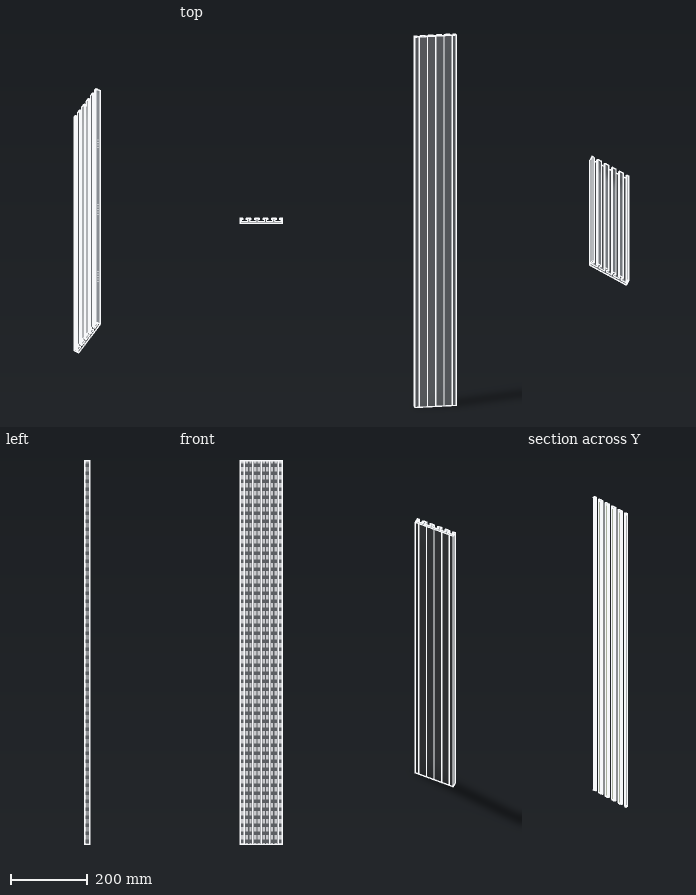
import cadquery as cq

length = 1000.0
width = 110.0
depth = 14.0

slot_count = 5
mouth_width = 8.6
mouth_chamfer = 1.3
chamber_width = 16.0
chamber_chamfer = 0.5
lip_thickness = 3.7
floor_thickness = 5.5
end_wall = 3.4

groove_width = 1.0
groove_depth = 0.2

front_y = -depth / 2
back_y = depth / 2
slot_pitch = (width - 2 * end_wall - chamber_width) / (slot_count - 1)
groove_pitch = width / slot_count


def centered_positions(count, pitch):
    """X places of evenly spaced features, symmetric about the YZ plane."""
    return [(i - (count - 1) / 2) * pitch for i in range(count)]


def prism(outline):
    """Closed XY outline extruded over the full length of the plate."""
    return cq.Workplane("XY").polyline(outline).close().extrude(length)


def t_slot(x):
    """Cutter for a T-slot with a chamfered mouth and chamfered corners under the lips."""
    half_mouth = mouth_width / 2
    half_chamber = chamber_width / 2
    lip_y = back_y - lip_thickness
    right_side = [
        (half_mouth + mouth_chamfer, back_y),
        (half_mouth, back_y - mouth_chamfer),
        (half_mouth, lip_y),
        (half_chamber - chamber_chamfer, lip_y),
        (half_chamber, lip_y - chamber_chamfer),
        (half_chamber, front_y + floor_thickness),
    ]
    left_side = [(-dx, y) for dx, y in reversed(right_side)]
    return prism([(x + dx, y) for dx, y in right_side + left_side])


def marking_groove(x):
    """Cutter for a V-groove in the front face."""
    return prism([
        (x - groove_width / 2, front_y),
        (x, front_y + groove_depth),
        (x + groove_width / 2, front_y),
    ])


result = cq.Workplane("XY").box(width, depth, length, centered=(True, True, False))

for slot_x in centered_positions(slot_count, slot_pitch):
    result = result.cut(t_slot(slot_x))

for groove_x in centered_positions(slot_count, groove_pitch):
    result = result.cut(marking_groove(groove_x))